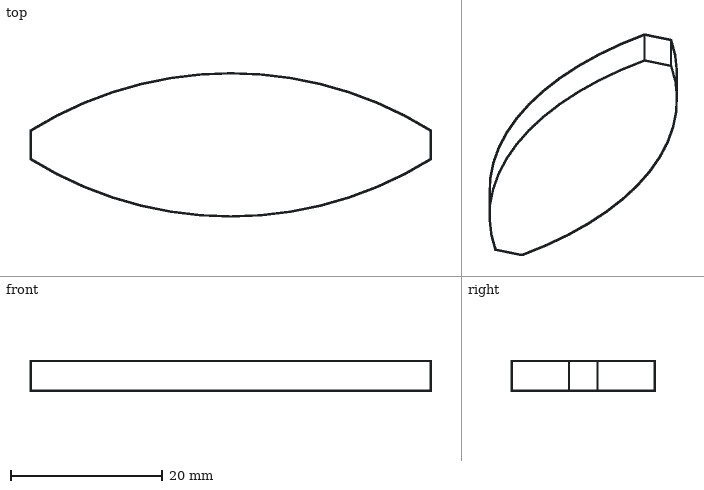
import cadquery as cq
import math

length = 53.0
width = 19.0
thickness = 4.0
side_radius = 50.0

half_length = length / 2
half_width = width / 2

side_arc_drop = side_radius - math.sqrt(side_radius**2 - half_length**2)
half_end_width = half_width - side_arc_drop


def make_biscuit():
    """Extrude the lens-shaped outline, centred on the Z axis, up from Z = 0."""
    return (
        cq.Workplane("XY")
        .moveTo(-half_length, -half_end_width)
        .threePointArc((0, -half_width), (half_length, -half_end_width))
        .lineTo(half_length, half_end_width)
        .threePointArc((0, half_width), (-half_length, half_end_width))
        .close()
        .extrude(thickness)
    )


result = make_biscuit()